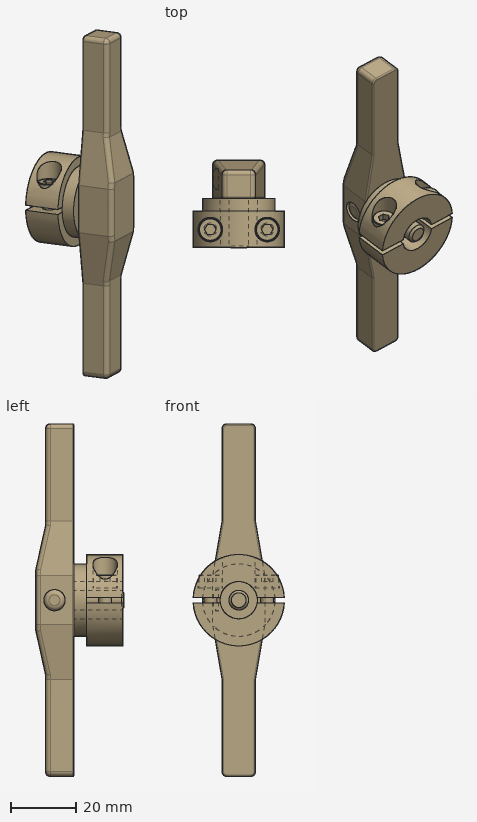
import cadquery as cq
import math

overall_depth = 26.97

handle_length = 107.95
grip_width = 10.2
grip_depth = 8.7
hub_width = 16.0
hub_depth = 11.7
side_hub_half = 7.5
side_taper_end = 24.3
back_hub_half = 9.25
back_taper_end = 22.8
back_round = 1.5
front_round = 0.45

lock_hole_diameter = 6.5
lock_screw_recess = 0.2
lock_tip_round = 1.6
lock_center_y = 5.95

flange_diameter = 22.2
flange_thickness = 3.9
ring_diameter = 28.0
ring_thickness = 11.1
bore_diameter = 11.4
slot_width = 1.6

stud_diameter = 6.0
stud_chamfer = 0.75
stud_overhang = overall_depth - hub_depth - flange_thickness - ring_thickness

screw_offset = 8.7
screw_shift = 0.1
shank_diameter = 4.0
head_diameter = 7.0
head_height = 4.0
head_top = 7.7
head_chamfer = 0.2
counterbore_diameter = 7.5
socket_flats = 3.1
socket_depth = 2.0
shank_depth = 6.0

ring_back = -flange_thickness
ring_front = ring_back - ring_thickness
ring_center_y = (ring_back + ring_front) / 2
screw_y = ring_center_y - screw_shift
handle_end = handle_length / 2


def side_outline():
    """Handle profile across X and Z: wide hub tapering to two narrow grips."""
    quarter = [
        (hub_width / 2, side_hub_half),
        (grip_width / 2, side_taper_end),
        (grip_width / 2, handle_end),
    ]
    upper = quarter + [(-x, z) for x, z in reversed(quarter)]
    lower = [(-x, -z) for x, z in upper]
    return cq.Workplane("XZ").polyline(upper + lower).close().extrude(-hub_depth)


def back_outline():
    """Handle profile across Y and Z: flat front, back stepping in from hub to grips."""
    upper = [
        (hub_depth, back_hub_half),
        (grip_depth, back_taper_end),
        (grip_depth, handle_end),
        (0, handle_end),
    ]
    lower = [(y, -z) for y, z in reversed(upper)]
    return cq.Workplane("YZ").polyline(upper + lower).close().extrude(hub_width, both=True)


def is_rounded_edge(edge):
    """Back and end edges, without the crease lines or the front outline."""
    center = edge.Center()
    box = edge.BoundingBox()
    on_front = box.ymax < front_round
    at_end = abs(center.z) > handle_end - front_round
    runs_along_bar = box.zlen > front_round
    return not on_front and (at_end or runs_along_bar)


def make_handle():
    bar = side_outline().intersect(back_outline())
    bar = bar.edges().filter(is_rounded_edge).fillet(back_round)
    bar = bar.faces("<Y").edges().fillet(front_round)
    bar = bar.cut(make_lock_groove())

    stud = disc(stud_diameter, 0, ring_front - stud_overhang)
    stud = stud.faces("<Y").edges().chamfer(stud_chamfer)
    return bar.union(stud)


def make_lock_groove():
    """Space around the rounded tip of the locking screw."""
    side = -hub_width / 2
    tip = side + lock_screw_recess
    hole_radius = lock_hole_diameter / 2
    arc_mid = lock_tip_round * math.sqrt(0.5)
    return (
        cq.Workplane("XY", origin=(0, lock_center_y, 0))
        .moveTo(side, 0)
        .lineTo(tip, 0)
        .lineTo(tip, hole_radius - lock_tip_round)
        .threePointArc(
            (tip + lock_tip_round - arc_mid, hole_radius - lock_tip_round + arc_mid),
            (tip + lock_tip_round, hole_radius),
        )
        .lineTo(side, hole_radius)
        .close()
        .revolve(360, (0, 0, 0), (1, 0, 0))
    )


def disc(diameter, y_start, y_end):
    """Cylinder about the Y axis running toward -Y."""
    return cq.Workplane("XZ", origin=(0, y_start, 0)).circle(diameter / 2).extrude(y_start - y_end)


def make_screw(x):
    """Socket head screw standing along Z with its head up."""
    head_bottom = head_top - head_height
    head = (
        cq.Workplane("XY", origin=(x, screw_y, head_bottom))
        .circle(head_diameter / 2)
        .extrude(head_height)
        .faces(">Z")
        .edges()
        .chamfer(head_chamfer)
    )
    socket = (
        cq.Workplane("XY", origin=(x, screw_y, head_top))
        .polygon(6, socket_flats / math.cos(math.pi / 6))
        .extrude(-socket_depth)
    )
    shank = (
        cq.Workplane("XY", origin=(x, screw_y, head_bottom))
        .circle(shank_diameter / 2)
        .extrude(-head_bottom - shank_depth)
    )
    return head.cut(socket).union(shank)


def make_counterbore(x):
    return (
        cq.Workplane("XY", origin=(x, screw_y, head_top - head_height))
        .circle(counterbore_diameter / 2)
        .extrude(ring_diameter)
    )


def make_clamp():
    ring = disc(ring_diameter, ring_back, ring_front)
    slot = cq.Workplane("XY").box(ring_diameter, ring_thickness, slot_width)
    ring = ring.cut(slot.translate((0, ring_center_y, 0)))
    clamp = disc(flange_diameter, 0, ring_back).union(ring)
    clamp = clamp.cut(disc(bore_diameter, 0, ring_front))

    for x in (-screw_offset, screw_offset):
        clamp = clamp.cut(make_counterbore(x)).union(make_screw(x))
    return clamp


handle = make_handle()
clamp = make_clamp()
result = cq.Compound.makeCompound([handle.val(), clamp.val()])